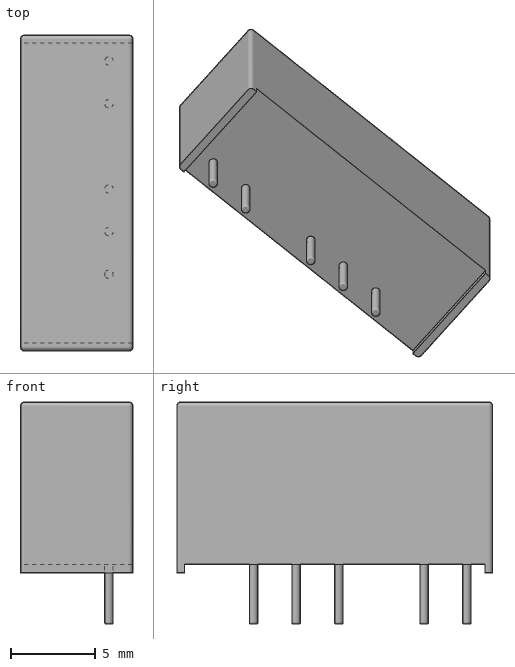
import cadquery as cq

case_width = 6.7
case_length = 18.8
overall_height = 13.22
edge_radius = 0.25

foot_length = 0.47
foot_height = 0.5

pin_diameter = 0.5
pin_drop = 3.05
pin_tip_radius = 0.1
pin_pitch = 2.54
pin_row_x = 1.92
first_pin_y = -4.83
pin_slots = (0, 1, 2, 4, 5)

case_height = overall_height - pin_drop


def make_case():
    """Box with rounded vertical and top edges, relieved underneath between the feet."""
    box = cq.Workplane("XY").box(case_width, case_length, case_height, centered=(True, True, False))
    box = box.edges("|Z or >Z").fillet(edge_radius)
    gap_length = case_length - 2 * foot_length
    gap = cq.Workplane("XY").box(case_width, gap_length, foot_height, centered=(True, True, False))
    return box.cut(gap)


def make_pin(y):
    """Round pin from the case underside down, with a rounded tip."""
    pin = cq.Workplane("XY").workplane(offset=-pin_drop).center(pin_row_x, y)
    pin = pin.circle(pin_diameter / 2).extrude(pin_drop + foot_height)
    return pin.faces("<Z").fillet(pin_tip_radius)


result = make_case()
for slot in pin_slots:
    result = result.union(make_pin(first_pin_y + slot * pin_pitch))